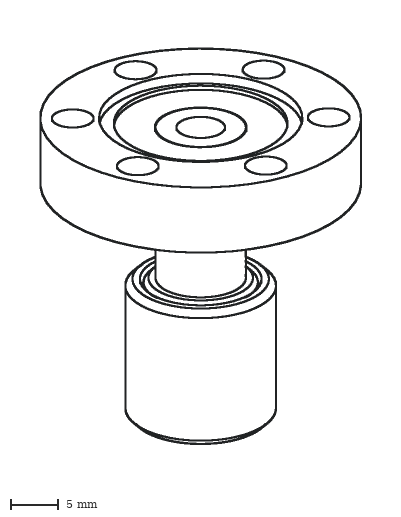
import cadquery as cq

total_height = 34.62
flange_thickness = 7.6
coupling_height = 15.82

flange_diameter = 33.8
bolt_hole_diameter = 4.4
bolt_circle_diameter = 26.95
bolt_count = 6
recess_diameter = 21.4
knife_diameter = 18.28
recess_depth = 1.1
knife_depth = 0.62
socket_diameter = 9.65
socket_clearance_depth = 0.7

tube_diameter = 9.52
bore_diameter = 4.78
bore_mouth_diameter = 5.12
bore_mouth_depth = 7.6
coupling_diameter = 15.9
coupling_chamfer = 0.75
groove_diameter = 12.8
groove_depth = 1.4
collar_base_diameter = 12.05
collar_top_diameter = 11.0
collar_rise = 0.15
collar_chamfer = (collar_base_diameter - collar_top_diameter) / 2

flange_bottom = total_height - flange_thickness
recess_floor = total_height - recess_depth


def cylinder(diameter, bottom, top):
    return cq.Workplane("XY").workplane(offset=bottom).circle(diameter / 2).extrude(top - bottom)


def revolved(profile):
    """Revolve a closed (radius, height) profile about Z."""
    return cq.Workplane("XZ").polyline(profile).close().revolve(360, (0, 0, 0), (0, 1, 0))


def make_flange():
    disc = cylinder(flange_diameter, flange_bottom, total_height)
    recess = cylinder(recess_diameter, recess_floor, total_height)
    knife_edge = revolved([
        (knife_diameter / 2, recess_floor),
        (recess_diameter / 2, recess_floor),
        (knife_diameter / 2, total_height - knife_depth),
    ])
    bolt_holes = (
        cq.Workplane("XY").workplane(offset=flange_bottom)
        .polarArray(bolt_circle_diameter / 2, 90, 360, bolt_count)
        .circle(bolt_hole_diameter / 2)
        .extrude(flange_thickness)
    )
    tube_hole = cylinder(tube_diameter, flange_bottom, recess_floor)
    clearance = cylinder(socket_diameter, recess_floor - socket_clearance_depth, recess_floor)
    return disc.cut(recess).union(knife_edge).cut(bolt_holes).cut(tube_hole).cut(clearance)


def make_coupling_tube():
    tube = cylinder(tube_diameter, 0, recess_floor)
    coupling = cylinder(coupling_diameter, 0, coupling_height).edges().chamfer(coupling_chamfer)
    groove = cylinder(groove_diameter, coupling_height - groove_depth, coupling_height)
    collar = cylinder(collar_base_diameter, coupling_height - groove_depth, coupling_height + collar_rise)
    collar = collar.faces(">Z").edges().chamfer(collar_chamfer)
    bore = cylinder(bore_diameter, 0, recess_floor)
    bore_mouth = cylinder(bore_mouth_diameter, recess_floor - bore_mouth_depth, recess_floor)
    return coupling.cut(groove).union(collar).union(tube).cut(bore).cut(bore_mouth)


flange = make_flange()
coupling_tube = make_coupling_tube()

result = cq.Compound.makeCompound([flange.val(), coupling_tube.val()])